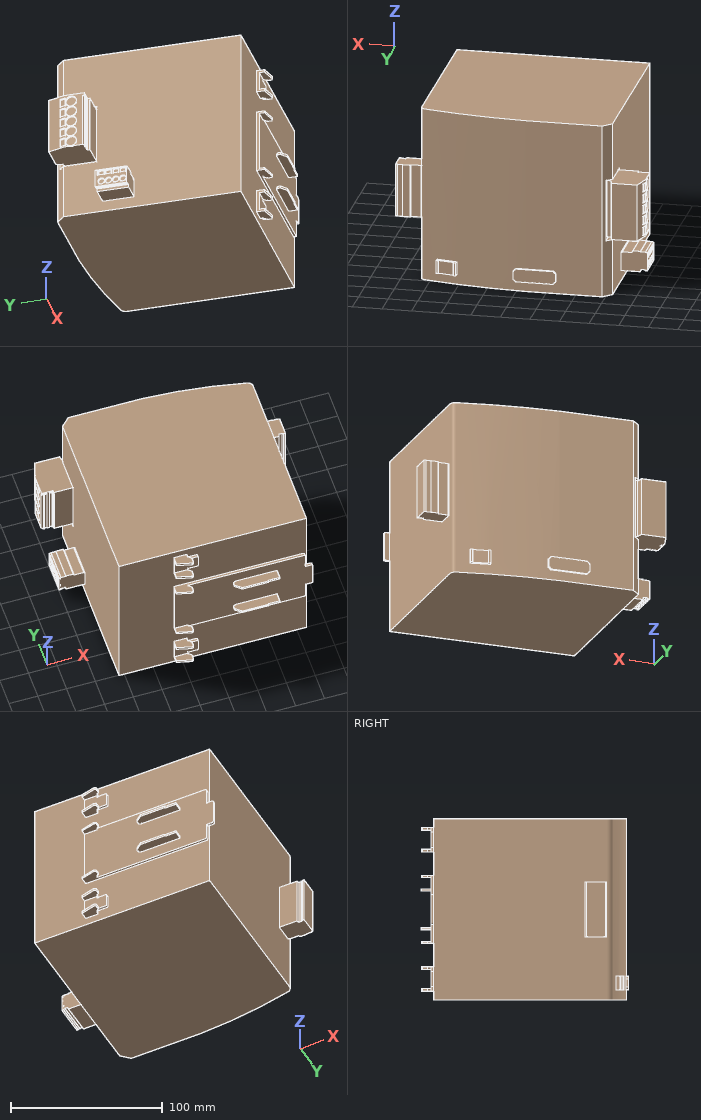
import cadquery as cq

WIDTH = 130.4
DEPTH = 127.7
HEIGHT = 120.0
MID_Z = HEIGHT / 2
CHAMFER = 5.8
BOW_START_X = 57.5
BOW_MID = (93.0, 124.8)
BOW_END_Y = 118.0
BOW_CORNER_RADIUS = 4.0

PLUG_REACH = 21.0
PLUG_BOTTOM_Z = 40.6
PLUG_TOP_Z = 80.1
PLUG_CAP = 1.9
PLUG_Y = 100.0
PLUG_LIP_Y = 101.8
PLUG_GROOVE_Y = 102.3
PLUG_STEP_REACH = 13.0
PLUG_SLOPE_Y = 115.5
PLUG_TIP_X = -17.6
PLUG_BACK_X = -0.3
PLUG_BACK_Y = 127.2
PLUG_SEAT_X = 0.8
PLUG_SEAT_Y = 122.5
PLUG_POLES = 5
PLUG_PITCH = 7.6
PLUG_POLE_Z = 44.7
PLUG_ENTRY_Y = 110.9
PLUG_ENTRY_RADIUS = 3.7
LATCH_Y = (115.0, 118.7)
LATCH_HEIGHT = 5.8
SEAT_DEPTH = 3.7
SEAT_Y = (99.2, 125.5)
SEAT_Z = (38.8, 81.1)

ENTRY_DEPTH = 1.2
OVERSHOOT = 1.7

SMALL_REACH = 18.0
SMALL_HEIGHT = 14.4
LEFT_SMALL_Y = 73.5
LEFT_SMALL_Z = 7.6
LEFT_SMALL_LENGTH = 21.7
RIGHT_SMALL_Z = 41.8
RIGHT_SMALL_LENGTH = 36.4
SMALL_POLES = 4
SMALL_PITCH = 4.9
SMALL_FIRST_Y = 76.2
SMALL_ENTRY_Z = 12.4
SMALL_ENTRY_RADIUS = 2.2
SMALL_LATCH_Z = 19.0
SMALL_LATCH_WIDTH = 3.7
SMALL_LATCH_HEIGHT = 3.2
SMALL_SLIT_Y = (93.1, 93.8)

SHEET = 1.9
CLIP_X = 38.1
FOOT_END_X = 47.2
HOOK_END_X = 49.6
SMALL_CLIP_OFFSET = 46.0
SMALL_CLIP_HEIGHT = 16.3
TONGUE_END_X = 54.5
TONGUE_HEIGHT = 10.2
TONGUE_RADIUS = 0.7
SLIDE_HEIGHT = 44.9
SLIDE_HOOK_THICKNESS = 1.4
SLIDE_END_X = 129.0
SLIDE_RADIUS = 1.2
PULL_END_X = 134.1
PULL_HEIGHT = 19.8
FIN_OFFSET = 12.9
FIN_THICKNESS = 1.5
FIN_DROP = 8.5

PANEL_HEIGHT = 9.0
PANEL_MID_Z = 11.3
PANEL_RISE = 1.4
PANEL_CORNER = 1.9
FLAT_PANEL_X = (36.9, 65.9)
TILT_PANEL_X = 111.8
TILT_PANEL_Y = 122.0
TILT_PANEL_LENGTH = 13.7
TILT_PANEL_THICKNESS = 3.4
TILT_ANGLE = -10.0
TILT_RIM = 1.5
TILT_RIM_RISE = 0.8


def block(x_range, y_range, z_range):
    """Box spanning the given ranges along X, Y and Z."""
    size = [high - low for low, high in (x_range, y_range, z_range)]
    corner = (x_range[0], y_range[0], z_range[0])
    return cq.Workplane("XY").box(*size, centered=False).translate(corner)


def prism(points, z_low, z_high):
    """Outline in the XY plane, extruded from z_low to z_high."""
    return cq.Workplane("XY").workplane(offset=z_low).polyline(points).close().extrude(z_high - z_low)


def housing():
    body = (
        cq.Workplane("XY")
        .lineTo(WIDTH, 0)
        .lineTo(WIDTH, BOW_END_Y)
        .threePointArc(BOW_MID, (BOW_START_X, DEPTH))
        .lineTo(CHAMFER, DEPTH)
        .lineTo(0, DEPTH - CHAMFER)
        .close()
        .extrude(HEIGHT)
    )
    bow_corner = cq.selectors.NearestToPointSelector((WIDTH, BOW_END_Y, MID_Z))
    body = body.edges(bow_corner).fillet(BOW_CORNER_RADIUS)
    return body.cut(block((-OVERSHOOT, SEAT_DEPTH), SEAT_Y, SEAT_Z))


def plug_outline(lower_edge):
    """Plug outline, closed by the points of its lower outer edge from tip to step."""
    upper = [
        (SEAT_DEPTH, PLUG_Y),
        (SEAT_DEPTH, PLUG_SEAT_Y),
        (PLUG_SEAT_X, PLUG_SEAT_Y),
        (PLUG_BACK_X, PLUG_BACK_Y),
        (PLUG_TIP_X, PLUG_BACK_Y),
        (-PLUG_REACH, PLUG_SLOPE_Y),
    ]
    return upper + lower_edge


def slope_x(y):
    """X of the plug's slanted face at a given Y."""
    share = (y - PLUG_SLOPE_Y) / (PLUG_BACK_Y - PLUG_SLOPE_Y)
    return -PLUG_REACH + share * (PLUG_TIP_X + PLUG_REACH)


def large_plug():
    cap_edge = [
        (-PLUG_REACH, PLUG_LIP_Y),
        (-PLUG_STEP_REACH, PLUG_LIP_Y),
        (-PLUG_STEP_REACH, PLUG_Y),
    ]
    grooved_edge = [
        (-PLUG_REACH, 103.0),
        (-19.8, PLUG_LIP_Y),
        (-19.1, PLUG_LIP_Y),
        (-19.1, PLUG_GROOVE_Y),
        (-17.1, PLUG_GROOVE_Y),
        (-17.1, PLUG_LIP_Y),
        (-15.4, PLUG_LIP_Y),
        (-15.4, PLUG_GROOVE_Y),
        (-13.7, PLUG_GROOVE_Y),
        (-13.7, PLUG_LIP_Y),
        (-PLUG_STEP_REACH, PLUG_LIP_Y),
        (-PLUG_STEP_REACH, 100.5),
        (-12.5, PLUG_Y),
    ]
    cap_z = PLUG_TOP_Z - PLUG_CAP
    plug = prism(plug_outline(grooved_edge), PLUG_BOTTOM_Z, cap_z)
    plug = plug.union(prism(plug_outline(cap_edge), cap_z, PLUG_TOP_Z))

    low, high = LATCH_Y
    latch_outline = [
        (-PLUG_REACH - OVERSHOOT, low),
        (slope_x(low) + ENTRY_DEPTH, low),
        (slope_x(high) + ENTRY_DEPTH, high),
        (-PLUG_REACH - OVERSHOOT, high),
    ]
    for pole in range(PLUG_POLES):
        z = PLUG_POLE_Z + pole * PLUG_PITCH
        plug = plug.cut(wire_entry(-PLUG_REACH, PLUG_ENTRY_Y, z, PLUG_ENTRY_RADIUS))
        plug = plug.cut(prism(latch_outline, z - LATCH_HEIGHT / 2, z + LATCH_HEIGHT / 2))
    return plug


def wire_entry(face_x, y, z, radius):
    """Shallow round cutter entering a face that looks toward -X."""
    return cq.Workplane("YZ", origin=(face_x, 0, 0)).center(y, z).circle(radius).extrude(ENTRY_DEPTH)


def small_plug(plane, length):
    """Small plug; plane x points away from the housing, plane y across the plug."""
    outline = [
        (0, 0),
        (13.0, 0),
        (13.7, 1.7),
        (15.5, 1.7),
        (15.5, 1.4),
        (16.8, 1.4),
        (16.8, 1.0),
        (SMALL_REACH, 1.0),
        (SMALL_REACH, 13.5),
        (16.6, 14.0),
        (13.2, 14.0),
        (13.2, SMALL_HEIGHT),
        (8.1, SMALL_HEIGHT),
        (7.5, 13.2),
        (0.7, 13.2),
        (0.7, 12.7),
        (0, 12.7),
    ]
    return cq.Workplane(plane).polyline(outline).close().extrude(length)


def left_small_plug():
    plane = cq.Plane((0, LEFT_SMALL_Y, LEFT_SMALL_Z), xDir=(-1, 0, 0), normal=(0, 1, 0))
    plug = small_plug(plane, LEFT_SMALL_LENGTH)
    for pole in range(SMALL_POLES):
        y = SMALL_FIRST_Y + pole * SMALL_PITCH
        plug = plug.cut(wire_entry(-SMALL_REACH, y, SMALL_ENTRY_Z, SMALL_ENTRY_RADIUS))
        latch = cq.Workplane("YZ", origin=(-SMALL_REACH, 0, 0)).center(y, SMALL_LATCH_Z)
        plug = plug.cut(latch.rect(SMALL_LATCH_WIDTH, SMALL_LATCH_HEIGHT).extrude(ENTRY_DEPTH))
    slit_x = (-SMALL_REACH, ENTRY_DEPTH - SMALL_REACH)
    slit_z = (SMALL_LATCH_Z - SMALL_LATCH_HEIGHT / 2, SMALL_LATCH_Z + SMALL_LATCH_HEIGHT / 2)
    return plug.cut(block(slit_x, SMALL_SLIT_Y, slit_z))


def right_small_plug():
    plane = cq.Plane((WIDTH, PLUG_Y, RIGHT_SMALL_Z), xDir=(1, 0, 0), normal=(0, 0, 1))
    return small_plug(plane, RIGHT_SMALL_LENGTH)


def sheet_plate(x_range, height, mid_z, corner_radius=0):
    """Plate lying on the rail side, with its far corners optionally rounded."""
    plate = block(x_range, (-SHEET, 0), (mid_z - height / 2, mid_z + height / 2))
    if corner_radius:
        plate = plate.faces(">X").edges("|Y").fillet(corner_radius)
    return plate


def hook_pair(height, thickness, mid_z):
    """Two rail hooks flush with the upper and lower edge of a clip."""
    outline = [
        (CLIP_X, 0),
        (CLIP_X, -5.5),
        (48.3, -8.0),
        (HOOK_END_X, -7.3),
        (HOOK_END_X, -4.0),
        (48.0, -2.7),
        (FOOT_END_X, -SHEET),
        (FOOT_END_X, 0),
    ]
    low = mid_z - height / 2
    high = mid_z + height / 2
    return prism(outline, low, low + thickness).union(prism(outline, high - thickness, high))


def small_clip(mid_z):
    clip = hook_pair(SMALL_CLIP_HEIGHT, SHEET, mid_z)
    clip = clip.union(sheet_plate((CLIP_X, FOOT_END_X), SMALL_CLIP_HEIGHT, mid_z))
    return clip.union(sheet_plate((CLIP_X, TONGUE_END_X), TONGUE_HEIGHT, mid_z, TONGUE_RADIUS))


def slide_clip():
    clip = sheet_plate((CLIP_X, SLIDE_END_X), SLIDE_HEIGHT, MID_Z, SLIDE_RADIUS)
    clip = clip.union(sheet_plate((CLIP_X, PULL_END_X), PULL_HEIGHT, MID_Z, SLIDE_RADIUS))
    clip = clip.union(hook_pair(SLIDE_HEIGHT, SLIDE_HOOK_THICKNESS, MID_Z))
    fin_outline = [
        (80.5, 0),
        (80.5, -SHEET),
        (78.7, -2.7),
        (78.7, -4.9),
        (83.1, -FIN_DROP),
        (101.0, -FIN_DROP),
        (101.5, -8.0),
        (109.4, -8.0),
        (109.4, 0),
    ]
    for side in (-1, 1):
        z = MID_Z + side * FIN_OFFSET
        clip = clip.union(prism(fin_outline, z - FIN_THICKNESS / 2, z + FIN_THICKNESS / 2))
    return clip


def flat_panel():
    z_range = (PANEL_MID_Z - PANEL_HEIGHT / 2, PANEL_MID_Z + PANEL_HEIGHT / 2)
    panel = block(FLAT_PANEL_X, (DEPTH - 2 * PANEL_RISE, DEPTH + PANEL_RISE), z_range)
    return panel.edges("|Y").chamfer(PANEL_CORNER)


def tilted_panel():
    """Panel following the bowed side, with a raised rim at each end."""
    size = (TILT_PANEL_LENGTH, TILT_PANEL_THICKNESS, PANEL_HEIGHT)
    panel = cq.Workplane("XY").box(*size)
    rim_x = (TILT_PANEL_LENGTH - TILT_RIM) / 2
    for side in (-1, 1):
        rim = cq.Workplane("XY").box(TILT_RIM, TILT_PANEL_THICKNESS, PANEL_HEIGHT)
        panel = panel.union(rim.translate((side * rim_x, TILT_RIM_RISE, 0)))
    panel = panel.rotate((0, 0, 0), (0, 0, 1), TILT_ANGLE)
    return panel.translate((TILT_PANEL_X, TILT_PANEL_Y, PANEL_MID_Z))


features = [
    large_plug(),
    left_small_plug(),
    right_small_plug(),
    slide_clip(),
    small_clip(MID_Z - SMALL_CLIP_OFFSET),
    small_clip(MID_Z + SMALL_CLIP_OFFSET),
    flat_panel(),
    tilted_panel(),
]
result = housing()
for feature in features:
    result = result.union(feature)